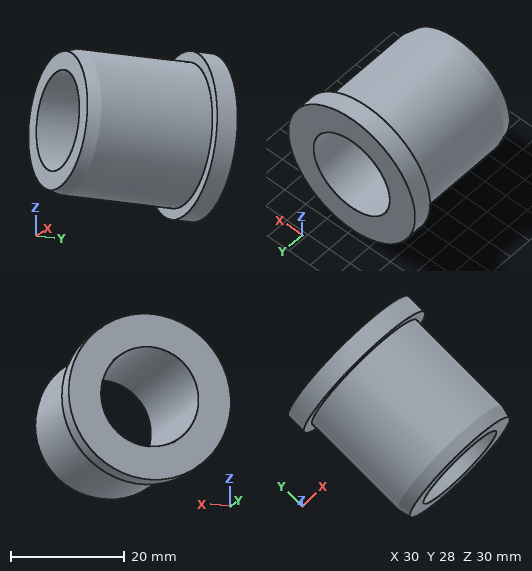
import cadquery as cq
import math

flange_diameter = 30.0
flange_thickness = 4.0
body_diameter = 26.0
bore_diameter = 18.0
total_length = 28.0

taper_length = 2.4
taper_angle = 15.0

flange_radius = flange_diameter / 2
body_radius = body_diameter / 2
bore_radius = bore_diameter / 2
tip_radius = body_radius - taper_length * math.tan(math.radians(taper_angle))
flange_start = total_length - flange_thickness

half_section = (
    cq.Workplane("XY")
    .moveTo(bore_radius, 0)
    .lineTo(tip_radius, 0)
    .lineTo(body_radius, taper_length)
    .lineTo(body_radius, flange_start)
    .lineTo(flange_radius, flange_start)
    .lineTo(flange_radius, total_length)
    .lineTo(bore_radius, total_length)
    .close()
)

result = half_section.revolve(360, (0, 0, 0), (0, 1, 0))